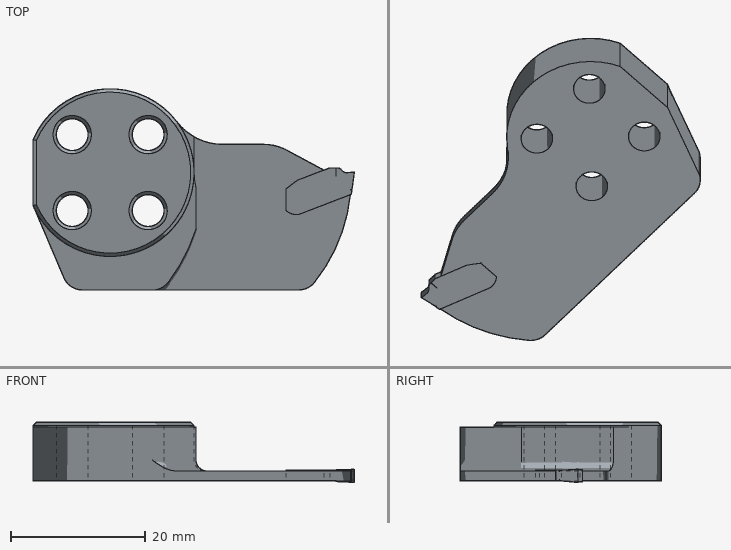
import cadquery as cq
import math


blade_thickness = 1.5
shoulder_height = 8.0
disc_height = 8.75

disc_radius = 12.5
disc_flat_distance = 11.5
disc_chamfer = 0.5
hole_diameter = 4.7
hole_chamfer = 0.5
hole_circle_radius = 8.0
hole_count = 4

bottom_edge_y = -17.5
top_edge_y = 4.23
corner_radius = 3.0
hollow_radius = 8.5
crest_radius = 7.5
top_slope = math.radians(30)
slope_start_x = 22.8
front_arc_center = (10.93, -0.74)
front_arc_radius = 25.0
front_top_y = -1.8

wall_x = disc_radius
bulge_x = 12.8
bulge_start_y = 0.2
bulge_top_y = -2.3
bulge_bottom_y = -8.35
wall_arc_center = (-12.4, -0.35)
wall_fillet = 1.6
clearance = 10.0

insert_top = 1.6
insert_tilt = math.radians(21)
seat_x = 26.2
seat_top_y = -2.42
seat_bottom_y = -5.64
seat_arc_middle = (27.1, -6.16)
lower_edge_start = (28.2, -6.2)
upper_edge_start = (27.86, -1.15)
heel_x = 35.95
crown_y = 0.72
crown_end_x = 33.8
rake_start = (35.2, 0.0)
tip = (36.4, 0.1)
tip_overhang = 0.27
nose_radius = 0.2
head_back_x = 33.65
head_crease_start = (head_back_x, -0.48)
head_crease_end = (36.25, -2.9)


def on_circle(center, radius, angle):
    return (center[0] + radius * math.cos(angle), center[1] + radius * math.sin(angle))


def full_outline():
    """Outline of the holder: disc, lower corner, blade and the flowing top edge."""
    flat_half = math.sqrt(disc_radius**2 - disc_flat_distance**2)
    run_per_drop = flat_half / disc_flat_distance
    left_corner_x = -disc_flat_distance + (-flat_half - bottom_edge_y) * run_per_drop
    side_turn = math.atan2(disc_flat_distance, flat_half)
    left_tangent = corner_radius * math.tan(side_turn / 2)
    left_fillet_start = (
        left_corner_x - left_tangent * math.cos(side_turn),
        bottom_edge_y + left_tangent * math.sin(side_turn),
    )
    left_fillet_center = (left_corner_x + left_tangent, bottom_edge_y + corner_radius)
    left_fillet_middle = on_circle(
        left_fillet_center, corner_radius, -(math.pi + side_turn) / 2)

    arc_x, arc_y = front_arc_center
    front_fillet_y = bottom_edge_y + corner_radius
    center_distance = front_arc_radius - corner_radius
    front_fillet_x = arc_x + math.sqrt(center_distance**2 - (front_fillet_y - arc_y)**2)
    front_fillet_center = (front_fillet_x, front_fillet_y)
    front_angle = math.atan2(front_fillet_y - arc_y, front_fillet_x - arc_x)
    front_fillet_middle = on_circle(
        front_fillet_center, corner_radius, (front_angle - math.pi / 2) / 2)
    front_arc_start = on_circle(front_arc_center, front_arc_radius, front_angle)
    front_top_angle = math.asin((front_top_y - arc_y) / front_arc_radius)
    front_arc_middle = on_circle(
        front_arc_center, front_arc_radius, (front_angle + front_top_angle) / 2)
    front_arc_end = on_circle(front_arc_center, front_arc_radius, front_top_angle)

    crest_center = (slope_start_x, top_edge_y - crest_radius)
    slope_end = on_circle(crest_center, crest_radius, math.pi / 2 - top_slope)
    crest_middle = on_circle(crest_center, crest_radius, (math.pi - top_slope) / 2)

    hollow_y = top_edge_y + hollow_radius
    hollow_x = math.sqrt((disc_radius + hollow_radius)**2 - hollow_y**2)
    hollow_center = (hollow_x, hollow_y)
    hollow_angle = math.atan2(hollow_y, hollow_x)
    disc_end = on_circle((0, 0), disc_radius, hollow_angle)
    hollow_middle = on_circle(
        hollow_center, hollow_radius, (hollow_angle - math.pi - math.pi / 2) / 2)

    return (
        cq.Workplane("XY")
        .moveTo(-disc_flat_distance, flat_half)
        .lineTo(-disc_flat_distance, -flat_half)
        .lineTo(*left_fillet_start)
        .threePointArc(left_fillet_middle, (left_fillet_center[0], bottom_edge_y))
        .lineTo(front_fillet_x, bottom_edge_y)
        .threePointArc(front_fillet_middle, front_arc_start)
        .threePointArc(front_arc_middle, front_arc_end)
        .lineTo(*slope_end)
        .threePointArc(crest_middle, (slope_start_x, top_edge_y))
        .lineTo(hollow_x, top_edge_y)
        .threePointArc(hollow_middle, disc_end)
        .threePointArc((0, disc_radius), (-disc_flat_distance, flat_half))
        .close()
    )


def blade_clearance():
    """Space above the blade, bounded by the shoulder wall, with a rounded lower edge."""
    bulge_drop = bulge_start_y - bulge_top_y
    bulge_offset = bulge_x - wall_x
    bulge_radius = (bulge_drop**2 + bulge_offset**2) / (2 * bulge_offset)
    bulge_turn = math.asin(bulge_drop / bulge_radius)
    bulge_middle = on_circle(
        (wall_x + bulge_radius, bulge_start_y), bulge_radius, math.pi + bulge_turn / 2)

    arc_x, arc_y = wall_arc_center
    wall_arc_radius = math.hypot(bulge_x - arc_x, bulge_bottom_y - arc_y)
    round_y = bottom_edge_y + corner_radius
    round_x = arc_x + math.sqrt((wall_arc_radius - corner_radius)**2 - (round_y - arc_y)**2)
    round_angle = math.atan2(round_y - arc_y, round_x - arc_x)
    arc_start_angle = math.atan2(bulge_bottom_y - arc_y, bulge_x - arc_x)
    arc_middle = on_circle(wall_arc_center, wall_arc_radius, (arc_start_angle + round_angle) / 2)
    arc_end = on_circle(wall_arc_center, wall_arc_radius, round_angle)
    round_middle = on_circle((round_x, round_y), corner_radius, (round_angle - math.pi / 2) / 2)

    far_x = tip[0] + clearance
    space = (
        cq.Workplane("XY", origin=(0, 0, blade_thickness))
        .moveTo(wall_x, disc_radius)
        .lineTo(wall_x, bulge_start_y)
        .threePointArc(bulge_middle, (bulge_x, bulge_top_y))
        .lineTo(bulge_x, bulge_bottom_y)
        .threePointArc(arc_middle, arc_end)
        .threePointArc(round_middle, (round_x, bottom_edge_y))
        .lineTo(round_x, bottom_edge_y - clearance)
        .lineTo(far_x, bottom_edge_y - clearance)
        .lineTo(far_x, disc_radius)
        .close()
        .extrude(shoulder_height)
    )
    margin = 0.1
    wall_foot = cq.selectors.BoxSelector(
        (round_x + margin, bottom_edge_y - margin, blade_thickness - margin),
        (bulge_x + margin, disc_radius + margin, blade_thickness + margin),
    )
    return space.edges(wall_foot).fillet(wall_fillet)


def make_disc():
    """Flat-sided disc with a chamfered rim, standing slightly above the shoulder."""
    right_of_flat = cq.Workplane("XY", origin=(-disc_flat_distance, 0, 0)).box(
        2 * disc_radius, 2 * disc_radius, disc_height, centered=(False, True, False))
    disc = cq.Workplane("XY").circle(disc_radius).extrude(disc_height)
    return disc.intersect(right_of_flat).faces(">Z").chamfer(disc_chamfer)


def mounting_holes():
    """Chamfered through holes, as cutters spread evenly around the disc axis."""
    spacing = 360 / hole_count
    mouth_radius = hole_diameter / 2 + hole_chamfer
    hole_profile = (
        cq.Workplane("XZ")
        .lineTo(hole_diameter / 2, 0)
        .lineTo(hole_diameter / 2, disc_height - hole_chamfer)
        .lineTo(mouth_radius, disc_height)
        .lineTo(0, disc_height)
        .close()
    )
    hole = hole_profile.revolve(360, (0, 0), (0, 1)).translate((hole_circle_radius, 0, 0))
    cutters = cq.Workplane("XY")
    for index in range(hole_count):
        angle = (index + 0.5) * spacing
        cutters = cutters.add(hole.rotate((0, 0, 0), (0, 0, 1), angle))
    return cutters.combine()


def insert_outline(base_z):
    """Plan outline of the whole insert: rounded shank, hooked rake and straight front."""
    tilt_slope = math.tan(insert_tilt)
    heel_y = lower_edge_start[1] + (heel_x - lower_edge_start[0]) * tilt_slope
    crown_start_x = upper_edge_start[0] + (crown_y - upper_edge_start[1]) / tilt_slope
    return (
        cq.Workplane("XY", origin=(0, 0, base_z))
        .moveTo(seat_x, seat_top_y)
        .lineTo(seat_x, seat_bottom_y)
        .threePointArc(seat_arc_middle, lower_edge_start)
        .lineTo(heel_x, heel_y)
        .lineTo(*tip)
        .lineTo(*rake_start)
        .spline([(crown_end_x, crown_y)], tangents=[(-1, 0), (-1, 0)], includeCurrent=True)
        .lineTo(crown_start_x, crown_y)
        .lineTo(*upper_edge_start)
        .close()
    )


def head_wedge():
    """Block over the cutting head that grows thicker from the crease towards the tip."""
    start_x, start_y = head_crease_start
    crease_angle = math.atan2(head_crease_end[1] - start_y, head_crease_end[0] - start_x)
    tip_distance = (
        (tip[1] - start_y) * math.cos(crease_angle) - (tip[0] - start_x) * math.sin(crease_angle)
    )
    stretch = 2
    reach = stretch * tip_distance
    top_rise = stretch * (blade_thickness + tip_overhang - insert_top)
    bottom_drop = stretch * tip_overhang
    across_crease = cq.Plane(
        origin=(start_x, start_y, 0),
        xDir=(-math.sin(crease_angle), math.cos(crease_angle), 0),
        normal=(math.cos(crease_angle), math.sin(crease_angle), 0),
    )
    wedge = (
        cq.Workplane(across_crease)
        .lineTo(reach, -bottom_drop)
        .lineTo(reach, insert_top + top_rise)
        .lineTo(0, insert_top)
        .close()
        .extrude(clearance, both=True)
    )
    behind_head = cq.Workplane("XY", origin=(head_back_x, 0, 0)).box(
        2 * clearance, 4 * clearance, clearance, centered=(False, True, True))
    return wedge.intersect(behind_head)


def nose_edges():
    """Upper and lower edge of the front face of the head."""
    lowest_y = head_crease_end[1]
    highest_y = tip[1] - nose_radius
    top = blade_thickness + tip_overhang
    above = cq.selectors.BoxSelector((heel_x, lowest_y, insert_top), (tip[0], highest_y, top))
    below = cq.selectors.BoxSelector((heel_x, lowest_y, -tip_overhang), (tip[0], highest_y, 0))
    return above + below


def make_insert():
    """Cutting insert: flat shank plus a head whose edge is wider than the blade."""
    wedge = head_wedge()
    full_height = insert_top + 2 * tip_overhang
    head = insert_outline(-tip_overhang).extrude(full_height).intersect(wedge)
    head = head.edges(nose_edges()).fillet(nose_radius)
    shank = insert_outline(0).extrude(insert_top).cut(wedge)
    return shank.union(head).solids()


def make_holder():
    """Holder with a seat cut through the blade to the outline of the insert."""
    holder = full_outline().extrude(shoulder_height)
    holder = holder.cut(blade_clearance())
    holder = holder.union(make_disc())
    holder = holder.cut(mounting_holes())
    return holder.cut(insert_outline(0).extrude(insert_top)).solids()


holder = make_holder()
insert = make_insert()
result = cq.Compound.makeCompound([holder.val(), insert.val()])